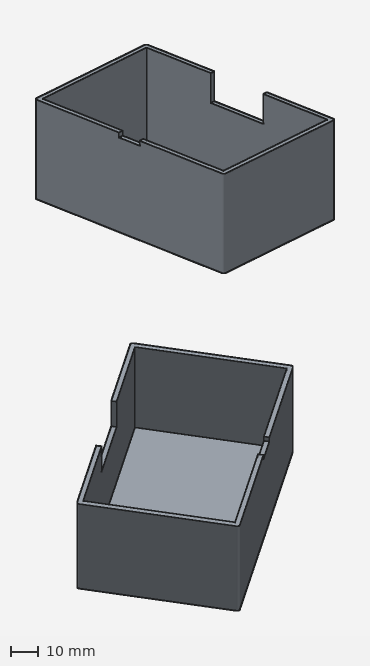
import cadquery as cq

length = 91.6
width = 60.0
height = 40.0
corner_radius = 1.0

wall = 2.0

front_notch_width = 10.0
front_notch_depth = wall
back_notch_width = 25.4
back_notch_depth = 12.0


def rim_notch(notch_width, notch_depth, side):
    """Cutter through one long wall, open at the rim; side is -1 for front, +1 for back."""
    wall_center_y = side * (width - wall) / 2
    return (
        cq.Workplane("XY")
        .box(notch_width, wall, notch_depth, centered=(True, True, False))
        .translate((0, wall_center_y, height - notch_depth))
    )


body = (
    cq.Workplane("XY")
    .box(length, width, height, centered=(True, True, False))
    .edges("|Z")
    .fillet(corner_radius)
)

cavity = (
    cq.Workplane("XY")
    .box(length - 2 * wall, width - 2 * wall, height - wall, centered=(True, True, False))
    .translate((0, 0, wall))
)

result = (
    body.cut(cavity)
    .cut(rim_notch(front_notch_width, front_notch_depth, -1))
    .cut(rim_notch(back_notch_width, back_notch_depth, 1))
)